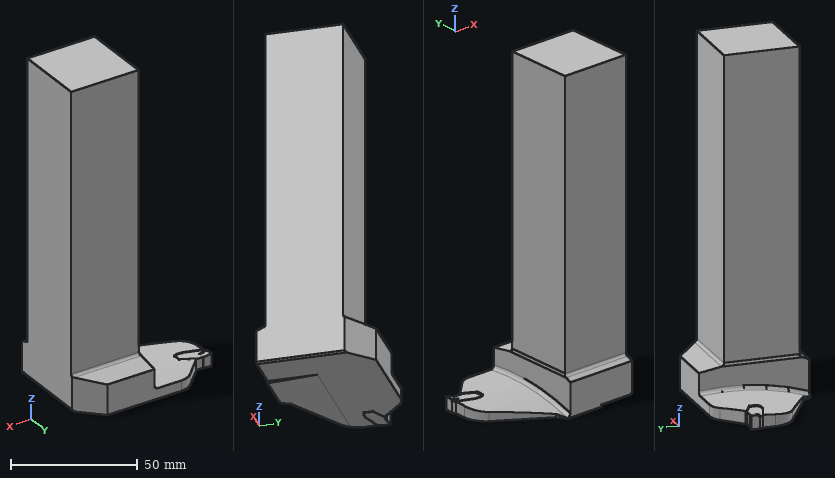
import cadquery as cq
import math

total_length = 66.0
total_width = 46.5
total_height = 146.8

shank_side = 32.0
shank_front = 3.8
shank_setback = 0.5
block_left = total_length - shank_side - shank_setback
block_corner_cut = 10.1
front_edge_height = 15.4
back_edge_height = 15.0
neck_bottom = 16.6
neck_top = 17.9
neck_reach = 1.2

blade_left = 0.6
blade_lower_corner = 20.1
blade_lower_radius = 10.3
blade_lower_end = (29.4, 3.8)
blade_upper_start = (7.2, 36.3)
blade_upper_radius = 8.1
blade_top = 6.5
crown_radius = 105.7
crown_center_y = 35.2
root_radius = 1.6

base_height = 0.95
tilt_width = 20.5
tilt_end = 49.9
base_chamfer = 0.7

insert_back = 12.6
insert_top = 6.0
tip_top = 6.8
tip_back = 36.4
tip_front = 32.7
deck_front = 33.0
deck_length = 3.7
deck_back = 36.0
insert_front = 31.3
insert_rear_side = 28.5
insert_shoulder = 35.8
insert_end = (29.0, 32.9)
insert_flank_end = 8.8
insert_rear_corner = 11.5
seat_end_gap = 0.5

shank_left = total_length - shank_side
shank_back = shank_front + shank_side
root_left = block_left - root_radius
arc_middle = math.sqrt(0.5)


def prism_along_x(points, x_start, x_end):
    """Extrude a (Y, Z) outline along X."""
    return cq.Workplane("YZ", origin=(x_start, 0, 0)).polyline(points).close().extrude(x_end - x_start)


def prism_along_y(points, y_start, y_end):
    """Extrude an (X, Z) outline along +Y."""
    return cq.Workplane("XZ", origin=(0, y_start, 0)).polyline(points).close().extrude(y_start - y_end)


def head_outline():
    """Plan of blade and block, with the two blade corners rounded."""
    upper_rise = total_width - blade_upper_start[1]
    upper_corner_x = blade_upper_start[0] + upper_rise
    outline = [
        (blade_left, tip_back),
        (blade_left, blade_lower_corner),
        blade_lower_end,
        (root_left, 0),
        (total_length, 0),
        (total_length, total_width - block_corner_cut),
        (total_length - block_corner_cut, total_width),
        (upper_corner_x, total_width),
        blade_upper_start,
        (blade_upper_start[0], tip_back),
    ]
    head = cq.Workplane("XY").polyline(outline).close().extrude(neck_top)

    def round_corner(body, x, y, radius):
        corner_edge = cq.selectors.NearestToPointSelector((x, y, neck_top / 2))
        return body.edges("|Z").edges(corner_edge).fillet(radius)

    head = round_corner(head, blade_left, blade_lower_corner, blade_lower_radius)
    return round_corner(head, upper_corner_x, total_width, blade_upper_radius)


def block_profile():
    """Sloping block shoulders with concave fillets running up into the shank."""
    rise = neck_top - neck_bottom
    front_foot = shank_front - neck_reach
    back_foot = shank_back + neck_reach
    sag_y = neck_reach * (1 - arc_middle)
    sag_z = rise * (1 - arc_middle)
    profile = (
        cq.Workplane("YZ")
        .moveTo(0, 0)
        .lineTo(0, front_edge_height)
        .lineTo(front_foot, neck_bottom)
        .threePointArc((shank_front - sag_y, neck_bottom + sag_z), (shank_front, neck_top))
        .lineTo(shank_back, neck_top)
        .threePointArc((shank_back + sag_y, neck_bottom + sag_z), (back_foot, neck_bottom))
        .lineTo(total_width, back_edge_height)
        .lineTo(total_width, 0)
        .close()
    )
    return profile.extrude(total_length)


def crown_envelope():
    """Space below the crowned blade top, with its root fillet, and the full block beyond."""
    section = (
        cq.Workplane("XZ", origin=(0, crown_center_y, blade_top - crown_radius))
        .moveTo(0, 0)
        .lineTo(0, crown_radius)
        .lineTo(root_left, crown_radius)
        .threePointArc(
            (root_left + root_radius * arc_middle, crown_radius + root_radius * (1 - arc_middle)),
            (block_left, crown_radius + root_radius),
        )
        .lineTo(block_left, crown_radius + total_height)
        .lineTo(total_length, crown_radius + total_height)
        .lineTo(total_length, 0)
        .close()
    )
    return section.revolve(360, (0, 0, 0), (1, 0, 0))


def left_neck_trim():
    """Narrow wedge removed where the block's left face blends into the shank."""
    points = [(block_left, neck_bottom), (shank_left, neck_top), (block_left, neck_top)]
    return prism_along_y(points, 0, total_width)


def underside_relief():
    """Material removed below the head."""
    tilted = prism_along_x(
        [(0, 0), (tilt_width, base_height), (total_width, base_height), (total_width, 0)], 0, tilt_end
    )
    flat = prism_along_y(
        [
            (tilt_end, 0),
            (tilt_end, base_height),
            (total_length - base_chamfer, base_height),
            (total_length, base_height + base_chamfer),
            (total_length, 0),
        ],
        0,
        total_width,
    )
    return tilted.union(flat)


def insert_plan(height):
    """Pointed insert plan, from the underside up to the given height."""
    points = [
        (0, tip_back),
        (0, tip_front),
        (blade_left, insert_front),
        (insert_flank_end, insert_rear_side),
        (insert_rear_corner, insert_rear_side),
        (insert_back, insert_end[0]),
        (insert_back, insert_end[1]),
        (blade_upper_start[0], insert_shoulder),
        (deck_length, insert_shoulder),
        (deck_length, deck_back),
    ]
    base = cq.Workplane("XY", origin=(0, 0, base_height))
    return base.polyline(points).close().extrude(height - base_height)


def make_insert():
    """Insert with a low flat top and a deck that climbs to the cutting edge."""
    body = insert_plan(tip_top)
    rear_clearance = cq.Workplane("XY").box(
        total_length, total_width, tip_top, centered=False
    ).translate((deck_length, 0, insert_top))
    front_clearance = cq.Workplane("XY").box(
        deck_length, deck_front, tip_top, centered=False
    ).translate((0, 0, insert_top))
    deck_clearance = prism_along_y(
        [(0, tip_top), (deck_length, insert_top), (deck_length, tip_top)], deck_front, tip_back
    )
    return body.cut(rear_clearance).cut(front_clearance).cut(deck_clearance).solids()


def make_holder():
    """Shank, block and blade in one solid, with the open seat for the insert."""
    head = head_outline().intersect(block_profile()).intersect(crown_envelope())
    head = head.cut(left_neck_trim()).cut(underside_relief())
    shank = (
        cq.Workplane("XY", origin=(shank_left, shank_front, neck_bottom))
        .rect(shank_side, shank_side, centered=False)
        .extrude(total_height - neck_bottom)
    )
    seat = insert_plan(neck_top)
    rear_gap = cq.Workplane("XY", origin=(insert_back, insert_end[0], 0)).box(
        seat_end_gap, insert_end[1] - insert_end[0], neck_top, centered=False
    )
    tip_gap = cq.Workplane("XY", origin=(0, insert_shoulder, 0)).box(
        blade_upper_start[0], tip_back - insert_shoulder, neck_top, centered=False
    )
    return head.cut(seat).cut(rear_gap).cut(tip_gap).union(shank).solids()


holder = make_holder()
insert = make_insert()
result = cq.Compound.makeCompound([holder.val(), insert.val()])